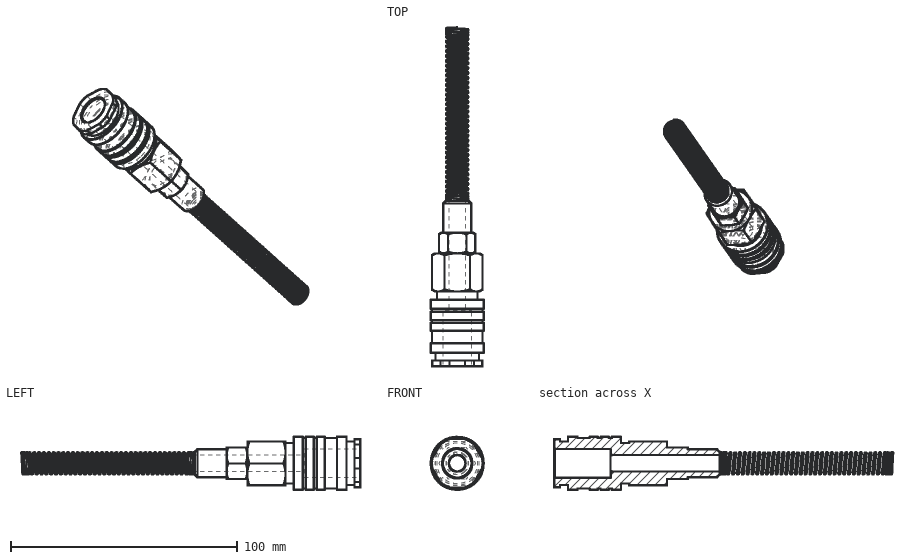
import cadquery as cq
import math


nose_end = 2.6
front_neck_end = 6.0
front_neck_radius = 9.7
sleeve_radius = 11.75
sleeve_root_radius = 11.25
ring_chamfer = 0.2
sleeve_rings = [(front_neck_end, 10.4), (15.6, 19.3), (20.4, 24.3), (25.4, 29.6)]
sleeve_start = sleeve_rings[0][0]
sleeve_end = sleeve_rings[-1][1]
rear_neck_end = 33.1
rear_neck_radius = 9.0

nose_radius = 11.2
nose_across_flats = 21.3

body_hex_end = 50.0
body_hex_across_flats = 19.5
nut_hex_end = 59.1
nut_hex_across_flats = 14.0
hex_rounding_angle = 30.0
corners_per_flats = 1 / math.cos(math.pi / 6)

socket_end = 73.2
socket_radius = 6.25
socket_chamfer = 1.2

mouth_radius = 6.3
mouth_depth = 25.0
mouth_chamfer = 0.4
through_bore_radius = 3.6

overall_length = 150.0
spring_outer_radius = 4.9
wire_radius = 0.5
spring_radius = spring_outer_radius - wire_radius
closed_turns = 3
open_turns = 33
closed_pitch = 1.05
spring_start = 72.7
spring_end = overall_length - wire_radius
closed_height = closed_turns * closed_pitch
open_height = spring_end - spring_start - 2 * closed_height
open_pitch = open_height / open_turns
spring_start_angle = 90.0


def disc(start, end, radius):
    """Cylinder on the Y axis between two positions."""
    return cq.Workplane("XZ", origin=(0, start, 0)).circle(radius).extrude(start - end)


def hexagon(start, end, across_flats):
    """Hexagonal prism on the Y axis with flats facing +Z and -Z."""
    across_corners = across_flats * corners_per_flats
    return cq.Workplane("XZ", origin=(0, start, 0)).polygon(6, across_corners).extrude(start - end)


def rounded_hexagon(start, end, across_flats):
    """Hexagonal prism whose corners are turned to a cone at both ends, down to the flats."""
    end_radius = across_flats / 2
    corner_radius = end_radius * corners_per_flats
    cone_length = (corner_radius - end_radius) * math.tan(math.radians(hex_rounding_angle))
    profile = [
        (0, start),
        (end_radius, start),
        (corner_radius, start + cone_length),
        (corner_radius, end - cone_length),
        (end_radius, end),
        (0, end),
    ]
    envelope = cq.Workplane("XY").polyline(profile).close().revolve(360, (0, 0, 0), (0, 1, 0))
    return hexagon(start, end, across_flats).intersect(envelope)


def make_sleeve():
    sleeve = disc(sleeve_start, sleeve_end, sleeve_root_radius)
    for start, end in sleeve_rings:
        ring = disc(start, end, sleeve_radius).faces("<Y or >Y").chamfer(ring_chamfer)
        sleeve = sleeve.union(ring)
    return sleeve


def make_body():
    nose = disc(0, nose_end, nose_radius).intersect(hexagon(0, nose_end, nose_across_flats))
    socket = disc(nut_hex_end, socket_end, socket_radius).faces(">Y").chamfer(socket_chamfer)
    body = nose.union(disc(nose_end, front_neck_end, front_neck_radius))
    body = body.union(make_sleeve())
    body = body.union(disc(sleeve_end, rear_neck_end, rear_neck_radius))
    body = body.union(rounded_hexagon(rear_neck_end, body_hex_end, body_hex_across_flats))
    body = body.union(rounded_hexagon(body_hex_end, nut_hex_end, nut_hex_across_flats))
    body = body.union(socket)
    body = body.cut(disc(0, mouth_depth, mouth_radius))
    body = body.cut(disc(0, socket_end, through_bore_radius))
    mouth_edge = body.faces("<Y").edges(cq.selectors.RadiusNthSelector(0))
    return mouth_edge.chamfer(mouth_chamfer)


def coil(start, turns, pitch):
    """Whole turns of round wire on the Y axis, beginning and ending at the start angle."""
    path = cq.Wire.makeHelix(pitch, turns * pitch, spring_radius)
    wire = cq.Workplane("XZ").center(spring_radius, 0).circle(wire_radius).sweep(path, isFrenet=True)
    wire = wire.rotate((0, 0, 0), (1, 0, 0), -90)
    wire = wire.rotate((0, 0, 0), (0, 1, 0), -spring_start_angle)
    return wire.translate((0, start, 0))


def make_spring():
    open_start = spring_start + closed_height
    open_end = open_start + open_height
    spring = coil(spring_start, closed_turns, closed_pitch)
    spring = spring.union(coil(open_start, open_turns, open_pitch))
    return spring.union(coil(open_end, closed_turns, closed_pitch))


result = make_body().union(make_spring())